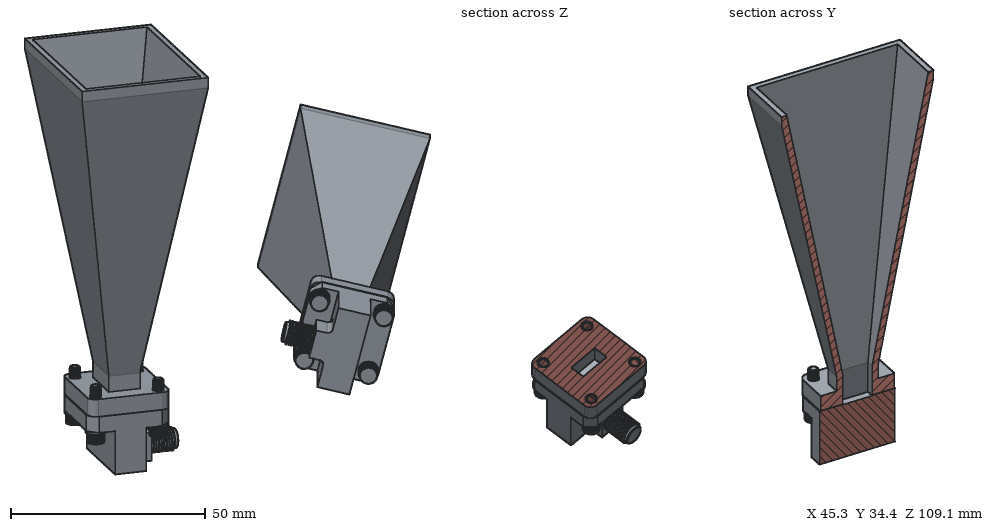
import cadquery as cq
import math

TOTAL_HEIGHT = 109.1
APERTURE_X = 45.3
APERTURE_Y = 34.4
APERTURE_WALL = 1.6
RIM_HEIGHT = 2.7
NECK_X = 12.5
NECK_Y = 8.5
NECK_TOP = 25.2
WAVEGUIDE_X = 8.6
WAVEGUIDE_Y = 4.1

HORN_FLANGE_SIZE = 22.0
HORN_FLANGE_THICKNESS = 4.7
HORN_FLANGE_CORNER_RADIUS = 2.2

ADAPTER_FLANGE_SIZE = 22.5
ADAPTER_FLANGE_BOTTOM = 11.8
ADAPTER_FLANGE_THICKNESS = 4.4
ADAPTER_CORNER_CHAMFER = 2.6

CONNECTOR_BLOCK_SIZE = 7.7
CONNECTOR_BLOCK_DEPTH = 4.0
CONNECTOR_BLOCK_FILLET = 1.3
CONNECTOR_AXIS_Z = 4.1
CONNECTOR_THREAD_DIAMETER = 6.3
CONNECTOR_CORE_DIAMETER = 5.3
CONNECTOR_THREAD_LENGTH = 6.8
CONNECTOR_TIP_LENGTH = 1.0
CONNECTOR_TIP_CHAMFER = 0.2
CONNECTOR_PITCH = 0.71

SCREW_OFFSET_X = 8.2
SCREW_OFFSET_Y = 8.5
SCREW_DIAMETER = 2.8
SCREW_ROOT_DIAMETER = 2.1
SCREW_PITCH = 0.63
SCREW_TIP_CHAMFER = 0.4
SCREW_PROTRUSION = 3.0
HEAD_DIAMETER = 4.6
HEAD_HEIGHT = 2.7
KNURL_COUNT = 36
KNURL_DEPTH = 0.1
CLEARANCE_HOLE_DIAMETER = 3.0
WASHER_DIAMETER = 5.3
WASHER_THICKNESS = 0.7
WASHER_SLIT = 0.5

FULL_TURN = 360.0
FLANK_STEPS = 4

JOINT_Z = ADAPTER_FLANGE_BOTTOM + ADAPTER_FLANGE_THICKNESS
HORN_FLANGE_TOP = JOINT_Z + HORN_FLANGE_THICKNESS
RIM_BOTTOM = TOTAL_HEIGHT - RIM_HEIGHT
WASHER_BOTTOM = ADAPTER_FLANGE_BOTTOM - WASHER_THICKNESS
SCREW_TIP_Z = HORN_FLANGE_TOP + SCREW_PROTRUSION
SCREW_SPOTS = [(x, y) for x in (-SCREW_OFFSET_X, SCREW_OFFSET_X) for y in (-SCREW_OFFSET_Y, SCREW_OFFSET_Y)]


def box(size_x, size_y, z_bottom, z_top):
    """Upright block centred on the Z axis."""
    return cq.Workplane("XY", origin=(0, 0, z_bottom)).rect(size_x, size_y).extrude(z_top - z_bottom)


def taper(bottom_size, top_size, z_bottom, z_top):
    """Rectangular pyramid frustum centred on the Z axis."""
    return (
        cq.Workplane("XY", origin=(0, 0, z_bottom))
        .rect(*bottom_size)
        .workplane(offset=z_top - z_bottom)
        .rect(*top_size)
        .loft(ruled=True)
    )


def cut_screw_holes(body, diameter, z_bottom, z_top):
    """Drill the four screw holes between two levels."""
    holes = (
        cq.Workplane("XY", origin=(0, 0, z_bottom))
        .pushPoints(SCREW_SPOTS)
        .circle(diameter / 2)
        .extrude(z_top - z_bottom)
    )
    return body.cut(holes)


def threaded_rod(major_diameter, root_diameter, pitch, length):
    """Rod with a helical thread, standing on the XY plane.

    Every level cross-section of a single-start thread is the same heart-shaped outline, whose radius
    falls evenly from crest to root over half a turn, so the rod is that outline extruded with a twist.
    """
    crest = major_diameter / 2
    depth = (major_diameter - root_diameter) / 2

    def flank_point(step, side):
        fraction = step / FLANK_STEPS
        radius = crest - depth * fraction
        angle = side * math.pi * fraction
        return (radius * math.cos(angle), radius * math.sin(angle))

    crest_to_root = [flank_point(step, 1) for step in range(1, FLANK_STEPS + 1)]
    root_to_crest = [flank_point(step, -1) for step in reversed(range(FLANK_STEPS))]
    outline = (
        cq.Workplane("XY")
        .moveTo(crest, 0)
        .spline(crest_to_root, includeCurrent=True)
        .spline(root_to_crest, includeCurrent=True)
        .close()
    )
    return outline.twistExtrude(length, FULL_TURN * length / pitch)


def make_horn():
    flange = box(HORN_FLANGE_SIZE, HORN_FLANGE_SIZE, JOINT_Z, HORN_FLANGE_TOP)
    flange = flange.edges("|Z").fillet(HORN_FLANGE_CORNER_RADIUS)
    neck = box(NECK_X, NECK_Y, HORN_FLANGE_TOP, NECK_TOP)
    flare = taper((NECK_X, NECK_Y), (APERTURE_X, APERTURE_Y), NECK_TOP, RIM_BOTTOM)
    rim = box(APERTURE_X, APERTURE_Y, RIM_BOTTOM, TOTAL_HEIGHT)

    mouth = (APERTURE_X - 2 * APERTURE_WALL, APERTURE_Y - 2 * APERTURE_WALL)
    waveguide = box(WAVEGUIDE_X, WAVEGUIDE_Y, JOINT_Z, NECK_TOP)
    cavity = taper((WAVEGUIDE_X, WAVEGUIDE_Y), mouth, NECK_TOP, TOTAL_HEIGHT)

    body = flange.union(neck).union(flare).union(rim).cut(waveguide).cut(cavity)
    return cut_screw_holes(body, CLEARANCE_HOLE_DIAMETER, JOINT_Z, HORN_FLANGE_TOP)


def make_connector_block():
    """Square block on the +Y face, blended into that face by concave side fillets."""
    half_width = CONNECTOR_BLOCK_SIZE / 2
    face_y = NECK_Y / 2
    end_y = face_y + CONNECTOR_BLOCK_DEPTH
    radius = CONNECTOR_BLOCK_FILLET
    arc_inset = radius * (1 - math.sqrt(0.5))
    foot = half_width + radius
    return (
        cq.Workplane("XY")
        .moveTo(-half_width, end_y)
        .lineTo(half_width, end_y)
        .lineTo(half_width, face_y + radius)
        .threePointArc((half_width + arc_inset, face_y + arc_inset), (foot, face_y))
        .lineTo(-foot, face_y)
        .threePointArc((-half_width - arc_inset, face_y + arc_inset), (-half_width, face_y + radius))
        .close()
        .extrude(CONNECTOR_BLOCK_SIZE)
    )


def make_connector_barrel():
    """Threaded barrel with a plain tip, built along Z and then laid along +Y."""
    barrel = threaded_rod(
        CONNECTOR_THREAD_DIAMETER, CONNECTOR_CORE_DIAMETER, CONNECTOR_PITCH, CONNECTOR_THREAD_LENGTH
    )
    tip = (
        cq.Workplane("XY", origin=(0, 0, CONNECTOR_THREAD_LENGTH))
        .circle(CONNECTOR_CORE_DIAMETER / 2)
        .extrude(CONNECTOR_TIP_LENGTH)
        .faces(">Z")
        .chamfer(CONNECTOR_TIP_CHAMFER)
    )
    barrel = barrel.union(tip).rotate((0, 0, 0), (1, 0, 0), -90)
    return barrel.translate((0, NECK_Y / 2 + CONNECTOR_BLOCK_DEPTH, CONNECTOR_AXIS_Z))


def make_adapter():
    flange = box(ADAPTER_FLANGE_SIZE, ADAPTER_FLANGE_SIZE, ADAPTER_FLANGE_BOTTOM, JOINT_Z)
    flange = flange.edges("|Z").chamfer(ADAPTER_CORNER_CHAMFER)
    flange = cut_screw_holes(flange, CLEARANCE_HOLE_DIAMETER, ADAPTER_FLANGE_BOTTOM, JOINT_Z)
    body = box(ADAPTER_FLANGE_SIZE, NECK_Y, 0, ADAPTER_FLANGE_BOTTOM)
    return flange.union(body).union(make_connector_block()).union(make_connector_barrel())


def make_screw():
    """Cap screw on the Z axis: knurled head below, thread from the joint up to the tip."""
    knurl_points = []
    for step in range(2 * KNURL_COUNT):
        angle = math.pi * step / KNURL_COUNT
        radius = HEAD_DIAMETER / 2 - KNURL_DEPTH * (step % 2)
        knurl_points.append((radius * math.cos(angle), radius * math.sin(angle)))
    head = (
        cq.Workplane("XY", origin=(0, 0, WASHER_BOTTOM - HEAD_HEIGHT))
        .polyline(knurl_points)
        .close()
        .extrude(HEAD_HEIGHT)
    )
    shank = (
        cq.Workplane("XY", origin=(0, 0, WASHER_BOTTOM))
        .circle(SCREW_DIAMETER / 2)
        .extrude(JOINT_Z - WASHER_BOTTOM)
    )
    thread_length = SCREW_TIP_Z - JOINT_Z
    thread = threaded_rod(SCREW_DIAMETER, SCREW_ROOT_DIAMETER, SCREW_PITCH, thread_length)
    envelope = (
        cq.Workplane("XY")
        .circle(SCREW_DIAMETER / 2 + SCREW_TIP_CHAMFER)
        .extrude(thread_length)
        .faces(">Z")
        .chamfer(2 * SCREW_TIP_CHAMFER)
    )
    thread = thread.intersect(envelope).translate((0, 0, JOINT_Z))
    return head.union(shank).union(thread)


def make_washer():
    """Split lock washer on the Z axis, its slit facing -Y."""
    ring = (
        cq.Workplane("XY", origin=(0, 0, WASHER_BOTTOM))
        .circle(WASHER_DIAMETER / 2)
        .circle(CLEARANCE_HOLE_DIAMETER / 2)
        .extrude(WASHER_THICKNESS)
    )
    slit = box(WASHER_SLIT, WASHER_DIAMETER, WASHER_BOTTOM, ADAPTER_FLANGE_BOTTOM)
    return ring.cut(slit.translate((0, -WASHER_DIAMETER / 2, 0)))


horn = make_horn()
adapter = make_adapter()

screw = make_screw()
washer = make_washer()
screws = []
washers = []
for spot_x, spot_y in SCREW_SPOTS:
    turn = FULL_TURN / 2 if spot_x < 0 else 0
    screws.append(screw.translate((spot_x, spot_y, 0)).val())
    washers.append(washer.rotate((0, 0, 0), (0, 0, 1), turn).translate((spot_x, spot_y, 0)).val())

result = cq.Compound.makeCompound([horn.val(), adapter.val(), *screws, *washers])